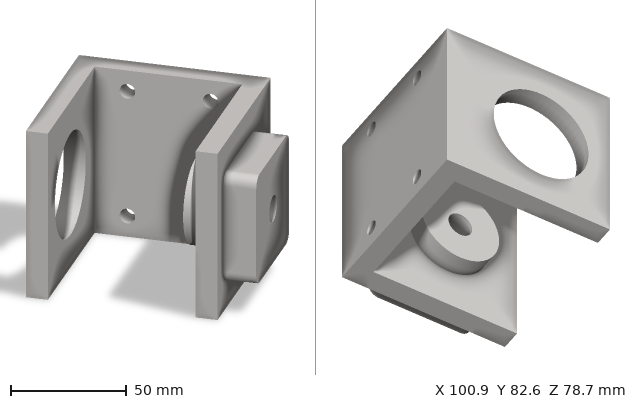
import cadquery as cq

bracket_width = 86.0
bracket_depth = 82.6
bracket_height = 78.7
wall = 9.9

axis_from_back = 47.7
opening_diameter = 48.0

total_length = 100.9
flange_side = 51.2
flange_offset = 0.6
flange_corner_radius = 5.0
boss_diameter = 39.3
boss_length = 10.0
bore_diameter = 12.0

mount_hole_diameter = 7.0
mount_centre_x = 43.3
mount_spacing_x = 37.3
mount_spacing_z = 59.0

axis_y = bracket_depth - axis_from_back
axis_z = bracket_height / 2
right_wall_inside = bracket_width - wall


def across_plane(x):
    """Plane facing +X at the given x, centred on the shared axis."""
    return cq.Workplane("YZ", origin=(x, axis_y, axis_z))


def make_bracket():
    outer = cq.Workplane("XY").box(bracket_width, bracket_depth, bracket_height, centered=False)
    channel = (
        cq.Workplane("XY")
        .box(bracket_width - 2 * wall, bracket_depth - wall, bracket_height, centered=False)
        .translate((wall, 0, 0))
    )
    return outer.cut(channel)


def make_bearing_block():
    flange = (
        across_plane(bracket_width)
        .center(-flange_offset, 0)
        .rect(flange_side, flange_side)
        .extrude(total_length - bracket_width)
        .edges("|X")
        .fillet(flange_corner_radius)
    )
    boss_start = right_wall_inside - boss_length
    boss = across_plane(boss_start).circle(boss_diameter / 2).extrude(bracket_width - boss_start)
    return flange.union(boss)


def make_mount_holes():
    return (
        cq.Workplane("XZ", origin=(mount_centre_x, bracket_depth, axis_z))
        .rect(mount_spacing_x, mount_spacing_z, forConstruction=True)
        .vertices()
        .circle(mount_hole_diameter / 2)
        .extrude(wall)
    )


left_opening = across_plane(0).circle(opening_diameter / 2).extrude(wall)
bore = across_plane(0).circle(bore_diameter / 2).extrude(total_length)

result = (
    make_bracket()
    .union(make_bearing_block())
    .cut(left_opening)
    .cut(bore)
    .cut(make_mount_holes())
)